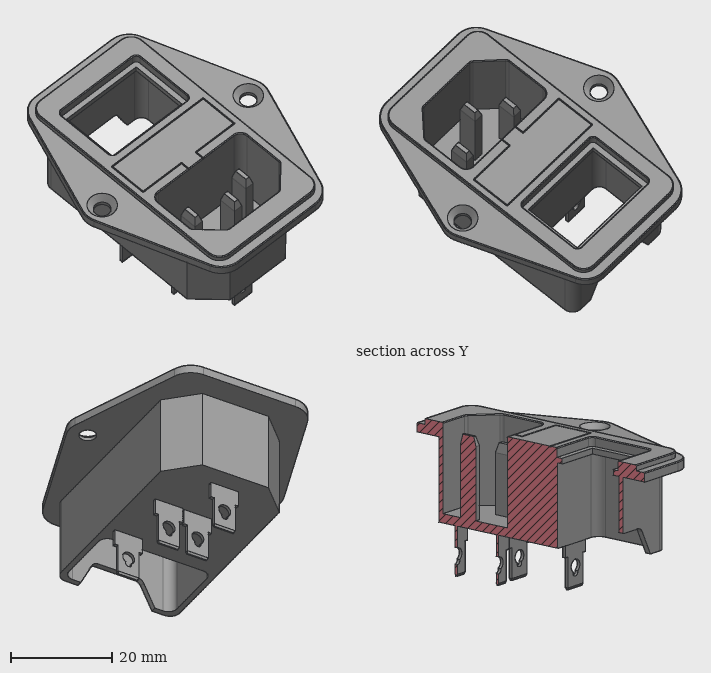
import cadquery as cq
import math


FLANGE_THICKNESS = 2.0
FLANGE_HALF_LENGTH = 29.0
FLANGE_APEX_Y = 24.5
FLANGE_SHOULDER_Y = 14.0
FLANGE_CORNER_RADIUS = 5.0
RIM_CHAMFER = 0.2
RIM_ANGLE = 45.0

SCREW_SPACING = 40.0
SCREW_DIAMETER = 3.5
SCREW_HEAD_DIAMETER = 6.0
SCREW_HEAD_ANGLE = 90.0

PANEL_LENGTH = 54.0
PANEL_WIDTH = 28.0
PANEL_HEIGHT = 1.2
PANEL_CORNER_RADIUS = 3.0
TOP_Z = FLANGE_THICKNESS + PANEL_HEIGHT

BODY_LEFT_X = -23.6
BODY_RIGHT_X = 23.5
BODY_WIDTH = 27.1
BODY_DEPTH = 17.5
BODY_CORNER_RADIUS = 2.25
BODY_CORNER_CUT = 6.0
BODY_WALL = 1.2

SWITCH_CENTER_X = -14.5
SWITCH_WINDOW_LENGTH = 13.0
SWITCH_WINDOW_WIDTH = 19.0
SWITCH_LEDGE = 1.2
SWITCH_RECESS_DEPTH = 2.0
SWITCH_RECESS_RADIUS = 1.0
SWITCH_CAVITY_RIGHT_X = -6.9
SWITCH_CAVITY_RADIUS = 2.0

NOTCH_HEIGHT = 6.0
NOTCH_TOP_WIDTH = 10.9
NOTCH_BOTTOM_WIDTH = 16.9
NOTCH_RADIUS = 1.5

DRAWER_LEFT_X = -4.95
DRAWER_RIGHT_X = 3.75
DRAWER_WIDTH = 24.8
DRAWER_TAB_WIDTH = 3.8
DRAWER_GAP = 0.15
DRAWER_GAP_DEPTH = 0.2

SOCKET_LEFT_X = 6.0
SOCKET_RIGHT_X = 22.3
SOCKET_WIDTH = 24.3
SOCKET_CORNER_CUT = 5.1
SOCKET_ROUND_RADIUS = 1.8
SOCKET_CUT_RADIUS = 1.0
SOCKET_FLOOR_THICKNESS = 2.0
SOCKET_FLOOR_Z = -BODY_DEPTH + SOCKET_FLOOR_THICKNESS

PIN_LENGTH = 4.0
PIN_WIDTH = 2.0
PIN_TIP_HEIGHT = 2.0
PIN_TIP_INSET = 0.55
LINE_PIN_X = 11.9
LINE_PIN_SPACING = 13.9
LINE_PIN_RECESS = 4.0
LINE_PIN_TOP_Z = TOP_Z - LINE_PIN_RECESS
EARTH_PIN_X = 15.9
EARTH_PIN_RECESS = 1.5
EARTH_PIN_TOP_Z = TOP_Z - EARTH_PIN_RECESS

TERMINAL_LENGTH = 10.3
TERMINAL_THICKNESS = 0.7
TERMINAL_ROOT_WIDTH = 6.3
TERMINAL_ROOT_LENGTH = 3.5
TERMINAL_BLADE_WIDTH = 4.8
TERMINAL_TIP_HEIGHT = 0.5
TERMINAL_TIP_INSET = 0.2
TERMINAL_EMBED = 1.0
TERMINAL_EYE_DEPTH = 5.75
TERMINAL_EYE_RADIUS = 1.35
TERMINAL_EYE_TIP_DEPTH = 7.15
TERMINAL_EYE_TIP_RADIUS = 0.7
TERMINAL_PLACES = [(-4.2, -8.4), (8.7, -6.7), (8.5, 0.0), (19.0, 0.0)]


def block(x_min, x_max, width, z_min, z_max):
    """Box spanning the given X and Z limits, centered on Y = 0."""
    return (
        cq.Workplane("XY", origin=((x_min + x_max) / 2, 0, z_min))
        .rect(x_max - x_min, width)
        .extrude(z_max - z_min)
    )


def cut_corner_block(x_min, x_max, width, cut, z_min, z_max):
    """Box with its two +X corners cut at 45 degrees."""
    return block(x_min, x_max, width, z_min, z_max).edges("|Z and >X").chamfer(cut)


def make_flange():
    outline = [
        (FLANGE_HALF_LENGTH, -FLANGE_SHOULDER_Y),
        (FLANGE_HALF_LENGTH, FLANGE_SHOULDER_Y),
        (0, FLANGE_APEX_Y),
        (-FLANGE_HALF_LENGTH, FLANGE_SHOULDER_Y),
        (-FLANGE_HALF_LENGTH, -FLANGE_SHOULDER_Y),
        (0, -FLANGE_APEX_Y),
    ]
    return (
        cq.Workplane("XY")
        .polyline(outline)
        .close()
        .extrude(FLANGE_THICKNESS)
        .edges("|Z")
        .fillet(FLANGE_CORNER_RADIUS)
        .faces(">Z")
        .chamfer(RIM_CHAMFER)
        .faces(">Z")
        .workplane()
        .rarray(1, SCREW_SPACING, 1, 2)
        .cskHole(SCREW_DIAMETER, SCREW_HEAD_DIAMETER, SCREW_HEAD_ANGLE)
    )


def make_panel():
    return (
        block(-PANEL_LENGTH / 2, PANEL_LENGTH / 2, PANEL_WIDTH, FLANGE_THICKNESS, TOP_Z)
        .edges("|Z")
        .fillet(PANEL_CORNER_RADIUS)
        .faces(">Z")
        .chamfer(RIM_CHAMFER)
    )


def make_body():
    return (
        cut_corner_block(BODY_LEFT_X, BODY_RIGHT_X, BODY_WIDTH, BODY_CORNER_CUT, -BODY_DEPTH, 0)
        .edges("|Z and <X")
        .fillet(BODY_CORNER_RADIUS)
    )


def flared_rim(opening):
    """Opening cut down from the panel top, widened by a chamfer at its rim."""
    rim = (
        opening.faces(">Z")
        .wires()
        .toPending()
        .workplane()
        .offset2D(RIM_CHAMFER, "intersection")
        .extrude(-RIM_CHAMFER, taper=RIM_ANGLE)
    )
    return opening.union(rim)


def make_switch_opening():
    half_window = SWITCH_WINDOW_LENGTH / 2
    half_recess = half_window + SWITCH_LEDGE
    recess = (
        block(
            SWITCH_CENTER_X - half_recess,
            SWITCH_CENTER_X + half_recess,
            SWITCH_WINDOW_WIDTH + 2 * SWITCH_LEDGE,
            TOP_Z - SWITCH_RECESS_DEPTH,
            TOP_Z,
        )
        .edges("|Z")
        .fillet(SWITCH_RECESS_RADIUS)
    )
    window = block(
        SWITCH_CENTER_X - half_window,
        SWITCH_CENTER_X + half_window,
        SWITCH_WINDOW_WIDTH,
        -BODY_DEPTH,
        TOP_Z,
    )
    cavity = (
        block(
            BODY_LEFT_X + BODY_WALL,
            SWITCH_CAVITY_RIGHT_X,
            BODY_WIDTH - 2 * BODY_WALL,
            -BODY_DEPTH,
            0,
        )
        .edges("|Z")
        .fillet(SWITCH_CAVITY_RADIUS)
    )
    return flared_rim(recess).union(window).union(cavity)


def make_notch():
    """Trapezoidal cut through the -X end wall, open at the bottom."""
    outline = [
        (-NOTCH_BOTTOM_WIDTH / 2, -BODY_DEPTH),
        (-NOTCH_TOP_WIDTH / 2, -BODY_DEPTH + NOTCH_HEIGHT),
        (NOTCH_TOP_WIDTH / 2, -BODY_DEPTH + NOTCH_HEIGHT),
        (NOTCH_BOTTOM_WIDTH / 2, -BODY_DEPTH),
    ]
    return (
        cq.Workplane("YZ", origin=(BODY_LEFT_X, 0, 0))
        .polyline(outline)
        .close()
        .extrude(BODY_WALL)
        .edges("|X and >Z")
        .fillet(NOTCH_RADIUS)
    )


def drawer_shape(growth):
    """Shallow plan shape of the drawer with its tab, enlarged on all sides by growth."""
    floor_z = TOP_Z - DRAWER_GAP_DEPTH
    front = block(
        DRAWER_LEFT_X - growth,
        DRAWER_RIGHT_X + growth,
        DRAWER_WIDTH + 2 * growth,
        floor_z,
        TOP_Z,
    )
    tab = block(DRAWER_RIGHT_X, SOCKET_LEFT_X, DRAWER_TAB_WIDTH + 2 * growth, floor_z, TOP_Z)
    return front.union(tab)


def make_drawer_gap():
    return drawer_shape(DRAWER_GAP).cut(drawer_shape(0))


def make_socket():
    opening = cut_corner_block(
        SOCKET_LEFT_X, SOCKET_RIGHT_X, SOCKET_WIDTH, SOCKET_CORNER_CUT, SOCKET_FLOOR_Z, TOP_Z
    )
    opening = opening.edges("|Z and <X").fillet(SOCKET_ROUND_RADIUS)
    middle_x = (SOCKET_LEFT_X + SOCKET_RIGHT_X) / 2
    cut_corners = cq.selectors.BoxSelector(
        (middle_x, -SOCKET_WIDTH, SOCKET_FLOOR_Z),
        (FLANGE_HALF_LENGTH, SOCKET_WIDTH, TOP_Z),
    )
    opening = opening.edges("|Z").edges(cut_corners).fillet(SOCKET_CUT_RADIUS)
    return flared_rim(opening)


def make_pin(x, y, top_z):
    shank_top_z = top_z - PIN_TIP_HEIGHT
    tip_taper = math.degrees(math.atan2(PIN_TIP_INSET, PIN_TIP_HEIGHT))
    shank = (
        cq.Workplane("XY", origin=(x, y, SOCKET_FLOOR_Z))
        .rect(PIN_LENGTH, PIN_WIDTH)
        .extrude(shank_top_z - SOCKET_FLOOR_Z)
    )
    tip = (
        cq.Workplane("XY", origin=(x, y, shank_top_z))
        .rect(PIN_LENGTH, PIN_WIDTH)
        .extrude(PIN_TIP_HEIGHT, taper=tip_taper)
    )
    return shank.union(tip)


def make_terminal_eye():
    """Keyhole: a large round hole overlapping a smaller one below it."""

    def hole(depth, radius):
        return (
            cq.Workplane("YZ", origin=(-TERMINAL_THICKNESS / 2, 0, -depth))
            .circle(radius)
            .extrude(TERMINAL_THICKNESS)
        )

    large = hole(TERMINAL_EYE_DEPTH, TERMINAL_EYE_RADIUS)
    small = hole(TERMINAL_EYE_TIP_DEPTH, TERMINAL_EYE_TIP_RADIUS)
    return large.union(small)


def make_terminal():
    """Solder tag hanging down from Z = 0, centered on X = Y = 0."""
    half = TERMINAL_THICKNESS / 2
    blade_end_z = -TERMINAL_LENGTH + TERMINAL_TIP_HEIGHT
    tip_taper = math.degrees(math.atan2(TERMINAL_TIP_INSET, TERMINAL_TIP_HEIGHT))
    root = block(-half, half, TERMINAL_ROOT_WIDTH, -TERMINAL_ROOT_LENGTH, TERMINAL_EMBED)
    blade = block(-half, half, TERMINAL_BLADE_WIDTH, blade_end_z, 0)
    tip = (
        cq.Workplane("XY", origin=(0, 0, blade_end_z))
        .rect(TERMINAL_THICKNESS, TERMINAL_BLADE_WIDTH)
        .extrude(-TERMINAL_TIP_HEIGHT, taper=tip_taper)
    )
    return root.union(blade).union(tip).cut(make_terminal_eye())


def make_module():
    module = make_flange().union(make_panel()).union(make_body())
    module = module.cut(make_switch_opening()).cut(make_notch())
    module = module.cut(make_drawer_gap()).cut(make_socket())

    for side in (-1, 1):
        module = module.union(make_pin(LINE_PIN_X, side * LINE_PIN_SPACING / 2, LINE_PIN_TOP_Z))
    module = module.union(make_pin(EARTH_PIN_X, 0, EARTH_PIN_TOP_Z))

    terminal = make_terminal()
    for x, y in TERMINAL_PLACES:
        module = module.union(terminal.translate((x, y, -BODY_DEPTH)))
    return module


result = make_module()